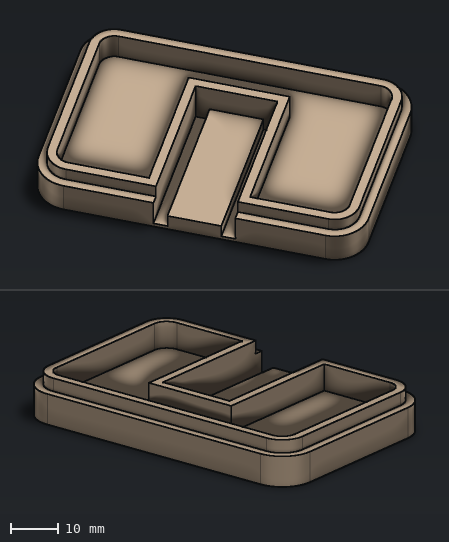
import cadquery as cq

length = 72.75
width = 48.5
height = 10.0
corner_radius = 7.5

shoulder_height = 7.0
shoulder_inset = 2.05
wall = 2.1

cavity_floor = 3.9
slot_width = 18.05
slot_length = 34.0

groove_floor = 0.95
tongue_width = 11.85
tongue_top = cavity_floor

front_y = -width / 2


def rounded_block(inset, bottom, top):
    """Rounded block whose outline lies a uniform distance inside the body outline."""
    return (
        cq.Workplane("XY")
        .workplane(offset=bottom)
        .rect(length - 2 * inset, width - 2 * inset)
        .extrude(top - bottom)
        .edges("|Z")
        .fillet(corner_radius - inset)
    )


def front_block(size_x, size_y, bottom, top):
    """Box centred on X that reaches inward from the front (-Y) face."""
    return (
        cq.Workplane("XY")
        .box(size_x, size_y, top - bottom, centered=(True, False, False))
        .translate((0, front_y, bottom))
    )


base = rounded_block(0, 0, shoulder_height)
rim = rounded_block(shoulder_inset, 0, height)
body = base.union(rim)

slot_surround = front_block(slot_width + 2 * wall, slot_length + wall, 0, height)
cavity = rounded_block(shoulder_inset + wall, cavity_floor, height).cut(slot_surround)
body = body.cut(cavity)

slot = front_block(slot_width, slot_length, groove_floor, height)
tongue = front_block(tongue_width, slot_length, groove_floor, tongue_top)
result = body.cut(slot.cut(tongue))